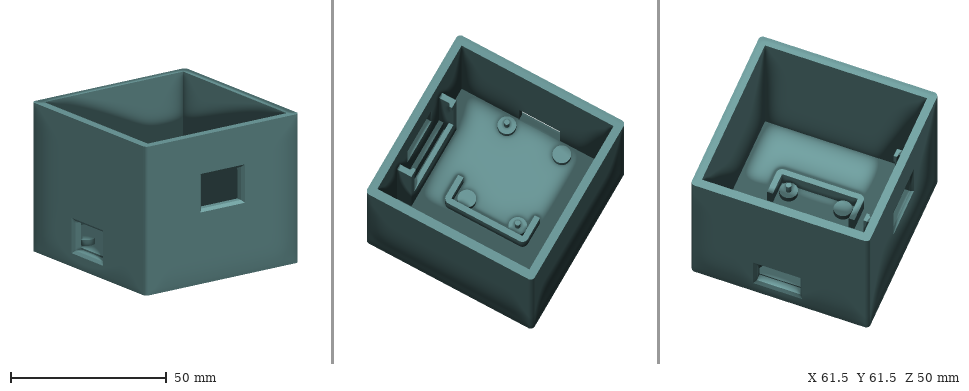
import cadquery as cq

side = 61.5
height = 50.0
wall = 3.0
end_wall = 2.8
corner_radius = 1.5
floor_top = 5.95
inner_half_x = side / 2 - end_wall
inner_half_y = side / 2 - wall

front_window_width = 15.0
front_window_height = 10.0
window_bevel = 0.9
window_overrun = 0.25
front_window_x = -0.7
front_window_bottom = 5.4
side_window_width = 15.85
side_window_height = 11.1
side_window_y = 0.05
side_window_bottom = 24.95

standoff_diameter = 6.0
standoff_height = 1.95
pin_diameter = 1.8
pinned_standoffs = [(-10.7, 4.55), (8.9, -23.5)]
plain_standoffs = [(8.05, 4.4), (-11.25, -23.5)]

rib = 1.95
fence_left = -16.2
fence_right = 13.9
fence_front = -0.35
fence_back = 9.65
fence_height = 5.0
fence_top = floor_top + fence_height

holder_depth = 5.3
holder_half_length = 14.8
holder_top = 35.9
holder_front = inner_half_x - holder_depth
post_inner = holder_half_length - rib
front_sill_depth = 1.65
front_sill_top = 15.9
rear_sill_depth = 1.65
rear_sill_top = 13.15
lip_reach = 1.0
lip_depth = 1.5
lip_flat = 1.0
lip_height = 3.2


def block(x_range, y_range, z_range):
    """Axis-aligned block spanning three (low, high) ranges."""
    size = [high - low for low, high in (x_range, y_range, z_range)]
    corner = (x_range[0], y_range[0], z_range[0])
    return cq.Workplane("XY").box(*size, centered=False).translate(corner)


def make_shell():
    outer = cq.Workplane("XY").rect(side, side).extrude(height).edges("|Z").fillet(corner_radius)
    cavity_x = (-inner_half_x, inner_half_x)
    cavity_y = (-inner_half_y, inner_half_y)
    return outer.cut(block(cavity_x, cavity_y, (floor_top, height)))


def make_window(width, opening_height, bottom):
    """Cutter for a window through the -Y wall, centred on X = 0."""
    opening = (
        cq.Workplane("XZ", origin=(0, -side / 2, bottom + opening_height / 2))
        .rect(width, opening_height)
        .extrude(-(wall + window_overrun))
    )
    bevel = (
        cq.Workplane("XZ", origin=(0, -side / 2, bottom + opening_height / 2))
        .rect(width + 2 * window_bevel, opening_height + 2 * window_bevel)
        .workplane(offset=-window_bevel)
        .rect(width, opening_height)
        .loft(ruled=True)
    )
    return opening.union(bevel)


def make_cylinders(centres, diameter, top):
    """Round posts rising from the floor to the given level."""
    return (
        cq.Workplane("XY", origin=(0, 0, floor_top))
        .pushPoints(centres)
        .circle(diameter / 2)
        .extrude(top - floor_top)
    )


def make_fence():
    z_range = (floor_top, fence_top)
    outer = block((fence_left, fence_right), (fence_front, fence_back), z_range)
    outer = outer.edges("|Z and >Y").fillet(rib)
    inner = block((fence_left + rib, fence_right - rib), (fence_front, fence_back - rib), z_range)
    return outer.cut(inner)


def make_post():
    """Holder post at the +Y end, with its retaining lip at the top."""
    post = block(
        (holder_front, inner_half_x), (post_inner, holder_half_length), (floor_top, holder_top)
    )
    lip = (
        cq.Workplane("XY", origin=(0, 0, holder_top - lip_height))
        .moveTo(holder_front, post_inner)
        .lineTo(holder_front, post_inner - lip_reach)
        .lineTo(holder_front + lip_flat, post_inner - lip_reach)
        .lineTo(holder_front + lip_depth, post_inner)
        .close()
        .extrude(lip_height)
    )
    return post.union(lip)


def make_holder():
    length = (-post_inner, post_inner)
    front_sill = block(
        (holder_front, holder_front + front_sill_depth), length, (floor_top, front_sill_top)
    )
    rear_sill = block(
        (inner_half_x - rear_sill_depth, inner_half_x), length, (floor_top, rear_sill_top)
    )
    post = make_post()
    return post.union(post.mirror("XZ")).union(front_sill).union(rear_sill)


front_window = (
    make_window(front_window_width, front_window_height, front_window_bottom)
    .translate((front_window_x, 0, 0))
)
side_window = (
    make_window(side_window_width, side_window_height, side_window_bottom)
    .rotate((0, 0, 0), (0, 0, 1), 90)
    .translate((0, side_window_y, 0))
)

standoff_top = floor_top + standoff_height
result = (
    make_shell()
    .cut(front_window)
    .cut(side_window)
    .union(make_cylinders(pinned_standoffs + plain_standoffs, standoff_diameter, standoff_top))
    .union(make_cylinders(pinned_standoffs, pin_diameter, fence_top))
    .union(make_fence())
    .union(make_holder())
)